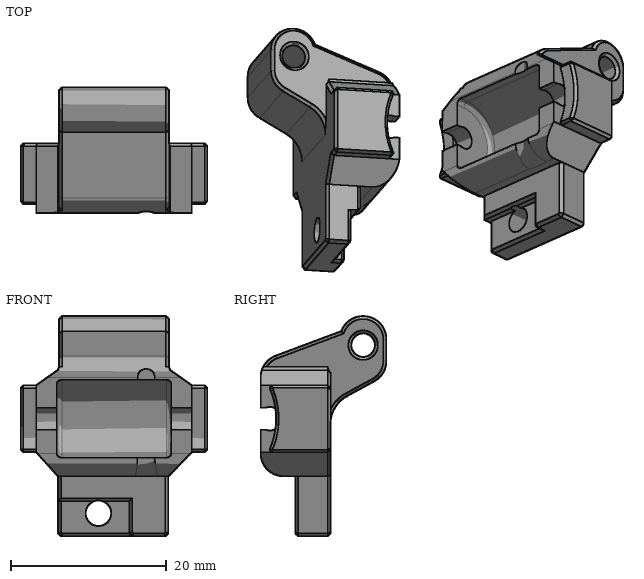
import cadquery as cq
import math

PART_HEIGHT = 28.31
CHAMFER = 0.4
ROUND = 3.0

BODY_HALF_WIDTH = 10.0
BODY_DEPTH = 9.0
BODY_BOTTOM = -7.4
EAR_HALF_HEIGHT = 4.3
SHOULDER_HALF_WIDTH = 7.23
SHOULDER_TOP = 6.25
NECK_TOP = 6.65

EAR_HALF_SPAN = 12.0
EAR_TIP_DEPTH = 8.0
EAR_MIDDLE_DEPTH = 7.0
EAR_EDGE_CHAMFER = 0.35

ARM_HALF_WIDTH = 7.07
ARM_BACK = 7.17
ARM_TOP = 13.2
ARM_ROOT_ROUND = 4.0
ARM_HOLE_DIAMETER = 3.0
ARM_HOLE_Z = 9.45
ARM_TOP_SLOPE = math.radians(20.5)
ARM_UNDER_SLOPE = math.radians(28.5)
ARM_TOP_CORNER_Z = 7.38
ARM_UNDER_CORNER_Z = 1.75
ARM_FOOT = -3.0
BOSS_Y = ARM_BACK - ROUND
BOSS_Z = ARM_TOP - ROUND

ROLLER_RADIUS = 5.0
ROLLER_HALF_LENGTH = 7.37
ROLLER_END_ROUND = 0.65
AXLE_Y = -7.8
AXLE_DIAMETER = 3.0
AXLE_SLOT_WIDTH = 2.8

GROOVE_X = 4.13
GROOVE_RADIUS = 3.0
GROOVE_WIDTH = 2.2

TAB_LEFT = -7.19
TAB_RIGHT = 6.99
TAB_DEPTH = 4.55
TAB_TOP = -4.0
TAB_BOTTOM = ARM_TOP - PART_HEIGHT
STEP_DEPTH = 3.29
STEP_RIGHT = 1.95
STEP_TOP = -10.6
TAB_HOLE_DIAMETER = 3.25
TAB_HOLE_X = -2.0
TAB_HOLE_Z = -12.13


def box(x0, x1, y0, y1, z0, z1):
    """Box between two opposite corners."""
    return cq.Workplane("XY").box(x1 - x0, y1 - y0, z1 - z0, centered=False).translate((x0, y0, z0))


def x_prism(outline, half_width):
    """Straight-sided YZ outline extruded evenly to both sides of X = 0."""
    return cq.Workplane("YZ").polyline(outline).close().extrude(half_width, both=True)


def x_cylinder(y, z, radius, half_length):
    """Cylinder along X, centred on X = 0."""
    return cq.Workplane("YZ", origin=(-half_length, y, z)).circle(radius).extrude(2 * half_length)


def groove():
    """Upright cylinder that grazes the front face over the groove width."""
    axis_offset = math.sqrt(GROOVE_RADIUS**2 - (GROOVE_WIDTH / 2) ** 2)
    return (
        cq.Workplane("XY", origin=(GROOVE_X, -BODY_DEPTH - axis_offset, BODY_BOTTOM))
        .circle(GROOVE_RADIUS)
        .extrude(ARM_TOP - BODY_BOTTOM)
    )


def rounded_front():
    """Full-width block that carries the front rounds and the groove."""
    crown_rise = BODY_DEPTH * math.tan(ARM_TOP_SLOPE)
    block = x_prism(
        [
            (0, BODY_BOTTOM),
            (-BODY_DEPTH, BODY_BOTTOM),
            (-BODY_DEPTH, ARM_TOP_CORNER_Z),
            (0, ARM_TOP_CORNER_Z + crown_rise),
        ],
        BODY_HALF_WIDTH,
    )
    block = block.faces("<Y").edges(">Z").fillet(ROUND)
    block = block.cut(groove())
    return block.faces("<Y or %CYLINDER").edges("<Z").fillet(ROUND)


def body():
    """Body with sloping shoulders, narrowing to the tab below, rounded at the front."""
    right_side = [
        (BODY_HALF_WIDTH, -EAR_HALF_HEIGHT),
        (BODY_HALF_WIDTH, EAR_HALF_HEIGHT),
        (SHOULDER_HALF_WIDTH, SHOULDER_TOP),
        (ARM_HALF_WIDTH, NECK_TOP),
    ]
    left_side = [(-x, z) for x, z in reversed(right_side)]
    bottom = [(TAB_LEFT, BODY_BOTTOM), (TAB_RIGHT, BODY_BOTTOM)]
    prism = cq.Workplane("XZ").polyline(right_side + left_side + bottom).close().extrude(BODY_DEPTH)
    return prism.intersect(rounded_front())


def ear():
    """Right-hand ear with a hollow front."""
    blank = (
        cq.Workplane("YZ")
        .moveTo(0, -EAR_HALF_HEIGHT)
        .lineTo(-EAR_TIP_DEPTH, -EAR_HALF_HEIGHT)
        .threePointArc((-EAR_MIDDLE_DEPTH, 0), (-EAR_TIP_DEPTH, EAR_HALF_HEIGHT))
        .lineTo(0, EAR_HALF_HEIGHT)
        .close()
        .extrude(EAR_HALF_SPAN)
    )
    blank = blank.edges("<Y and |X").chamfer(CHAMFER)
    blank = blank.faces(">X").edges("not >Y").chamfer(EAR_EDGE_CHAMFER)
    outboard = box(
        BODY_HALF_WIDTH, EAR_HALF_SPAN, -BODY_DEPTH, 0, -EAR_HALF_HEIGHT, EAR_HALF_HEIGHT
    )
    return blank.intersect(outboard)


def chamfered_plate(outline, depth):
    """Plate with the given XZ outline, standing forward of Y = 0, with its front rim chamfered."""
    plate = cq.Workplane("XZ").polyline(outline).close().extrude(depth)
    return plate.faces("<Y").chamfer(CHAMFER)


def tab():
    """Tab with a lower step around its hole."""
    left_corner = [(TAB_LEFT, TAB_BOTTOM + CHAMFER), (TAB_LEFT + CHAMFER, TAB_BOTTOM)]
    right_corner = [(TAB_RIGHT - CHAMFER, TAB_BOTTOM), (TAB_RIGHT, TAB_BOTTOM + CHAMFER)]
    top_edge = [(TAB_RIGHT, TAB_TOP), (TAB_LEFT, TAB_TOP)]
    step_edge = [(TAB_LEFT, STEP_TOP), (STEP_RIGHT, STEP_TOP)]
    step_corner = [(STEP_RIGHT, TAB_BOTTOM + CHAMFER), (STEP_RIGHT + CHAMFER, TAB_BOTTOM)]
    floor_plate = chamfered_plate(left_corner + right_corner + top_edge, STEP_DEPTH)
    raised_plate = chamfered_plate(step_edge + step_corner + right_corner + top_edge, TAB_DEPTH)
    return floor_plate.union(raised_plate)


def base():
    """Body, ears and tab, with the rim of their shared back face chamfered."""
    right_ear = ear()
    joined = body().union(right_ear).union(right_ear.mirror("YZ")).union(tab())
    return joined.faces(">Y").chamfer(CHAMFER)


def arm():
    """Arm that rises behind the body and ends in a round boss."""
    slope_under_boss = ARM_TOP_CORNER_Z + (BODY_DEPTH + BOSS_Y) * math.tan(ARM_TOP_SLOPE)
    under_back_z = ARM_UNDER_CORNER_Z + ARM_BACK * math.tan(ARM_UNDER_SLOPE)
    blank = x_prism(
        [
            (-BODY_DEPTH, ARM_TOP_CORNER_Z),
            (BOSS_Y, slope_under_boss),
            (BOSS_Y, BOSS_Z),
            (ARM_BACK, BOSS_Z),
            (ARM_BACK, under_back_z),
            (0, ARM_UNDER_CORNER_Z),
            (0, ARM_FOOT),
            (-BODY_DEPTH, ARM_FOOT),
        ],
        ARM_HALF_WIDTH,
    )
    corner_rounds = (
        (-BODY_DEPTH, ARM_TOP_CORNER_Z, ROUND),
        (ARM_BACK, under_back_z, ROUND),
        (0, ARM_UNDER_CORNER_Z, ARM_ROOT_ROUND),
    )
    for y, z, radius in corner_rounds:
        blank = blank.edges(cq.NearestToPointSelector((0, y, z))).fillet(radius)
    blank = blank.union(x_cylinder(BOSS_Y, BOSS_Z, ROUND, ARM_HALF_WIDTH)).clean()
    return blank.faces("<X or >X").chamfer(CHAMFER).cut(groove())


def arm_hole():
    """Cross hole with a countersink at each side of the arm."""
    radius = ARM_HOLE_DIAMETER / 2
    hole = x_cylinder(BOSS_Y, ARM_HOLE_Z, radius, ARM_HALF_WIDTH)
    for side in (-1, 1):
        face = cq.Plane(
            origin=(side * ARM_HALF_WIDTH, BOSS_Y, ARM_HOLE_Z), xDir=(0, 1, 0), normal=(-side, 0, 0)
        )
        sink = cq.Workplane(face).circle(radius + CHAMFER).extrude(CHAMFER, taper=45)
        hole = hole.union(sink)
    return hole


def roller_pocket():
    """Round-ended roller seat, open to the front."""
    seat = x_cylinder(AXLE_Y, 0, ROLLER_RADIUS, ROLLER_HALF_LENGTH)
    seat = seat.faces("<X or >X").edges().fillet(ROLLER_END_ROUND)
    mouth = (
        cq.Workplane("XZ", origin=(0, AXLE_Y, 0))
        .rect(2 * ROLLER_HALF_LENGTH, 2 * ROLLER_RADIUS)
        .extrude(BODY_DEPTH + AXLE_Y)
        .edges("|Y")
        .fillet(ROLLER_END_ROUND)
    )
    return seat.union(mouth)


def axle_slot():
    """Axle seat across the body with a slightly narrower entry from the front."""
    seat = x_cylinder(AXLE_Y, 0, AXLE_DIAMETER / 2, BODY_HALF_WIDTH)
    half_slot = AXLE_SLOT_WIDTH / 2
    entry = box(-BODY_HALF_WIDTH, BODY_HALF_WIDTH, -BODY_DEPTH, AXLE_Y, -half_slot, half_slot)
    return seat.union(entry)


def tab_hole():
    """Plain hole through the tab."""
    return (
        cq.Workplane("XZ", origin=(TAB_HOLE_X, 0, TAB_HOLE_Z))
        .circle(TAB_HOLE_DIAMETER / 2)
        .extrude(TAB_DEPTH)
    )


result = base().union(arm())
for opening in (arm_hole(), roller_pocket(), axle_slot(), tab_hole()):
    result = result.cut(opening)